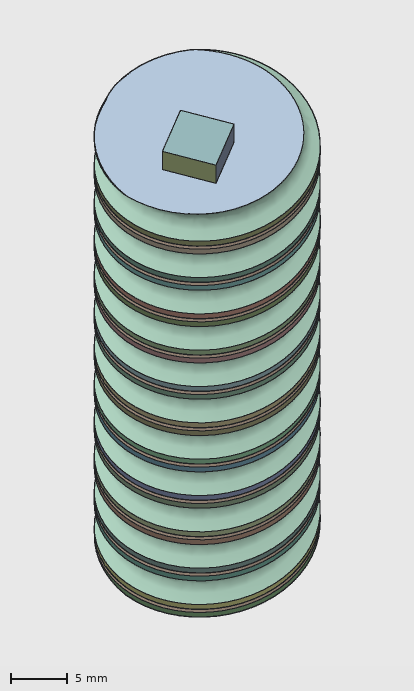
import cadquery as cq
import math

rod_radius = 10.0
rod_length = 55.0
pitch = 5.0

groove_depth = 1.5
groove_width = 3.25

crest_line_width = 0.45
crest_line_depth = 0.15

tab_side = 5.0
tab_height = 2.5

overrun_turns = 1
overcut = 0.3

blank_overhang = (overrun_turns + 2) * pitch
seam_angle = 180
envelope_side = 3 * rod_radius


def helical_cutter(profile, start_z):
    """Sweep a profile drawn in the XZ plane up a right-hand helix."""
    height = rod_length + 2 * overrun_turns * pitch
    helix = cq.Wire.makeHelix(pitch, height, rod_radius, center=cq.Vector(0, 0, start_z))
    return profile.sweep(cq.Workplane(helix), isFrenet=True)


def thread_groove():
    """Parabolic groove whose middle crosses the +X side at whole pitches."""
    start_z = -overrun_turns * pitch
    outer = rod_radius + overcut
    cutter_depth = groove_depth + overcut
    cutter_half_width = groove_width / 2 * math.sqrt(cutter_depth / groove_depth)
    lower_corner = (outer, start_z - cutter_half_width)
    upper_corner = (outer, start_z + cutter_half_width)
    control_point = (outer - 2 * cutter_depth, start_z)
    profile = (
        cq.Workplane("XZ")
        .moveTo(*lower_corner)
        .bezier([lower_corner, control_point, upper_corner])
        .close()
    )
    return helical_cutter(profile, start_z)


def crest_line():
    """V-shaped line half a pitch above the thread groove."""
    start_z = pitch / 2 - overrun_turns * pitch
    outer = rod_radius + overcut
    half_width_per_depth = crest_line_width / 2 / crest_line_depth
    cutter_half_width = (crest_line_depth + overcut) * half_width_per_depth
    profile = (
        cq.Workplane("XZ")
        .moveTo(outer, start_z - cutter_half_width)
        .lineTo(rod_radius - crest_line_depth, start_z)
        .lineTo(outer, start_z + cutter_half_width)
        .close()
    )
    return helical_cutter(profile, start_z)


def threaded_rod():
    """Thread a blank longer than the cutters, then trim it to the rod length."""
    blank = (
        cq.Workplane("XY", origin=(0, 0, -blank_overhang))
        .circle(rod_radius)
        .extrude(rod_length + 2 * blank_overhang)
        .rotate((0, 0, 0), (0, 0, 1), seam_angle)
    )
    threaded = blank.cut(thread_groove()).cut(crest_line())
    envelope = cq.Workplane("XY").rect(envelope_side, envelope_side).extrude(rod_length)
    return threaded.intersect(envelope)


def drive_tab():
    return (
        cq.Workplane("XY", origin=(0, -tab_side / 2, rod_length))
        .rect(tab_side, tab_side)
        .extrude(tab_height)
    )


result = threaded_rod().union(drive_tab())